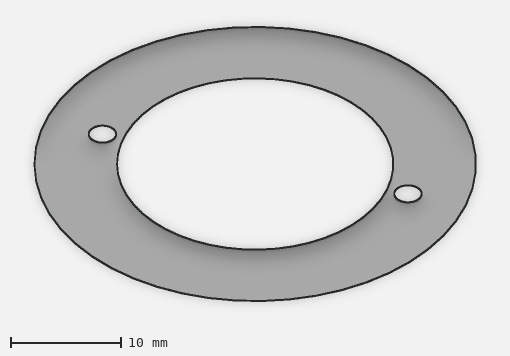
import cadquery as cq

outer_diameter = 40
bore_diameter = 25.0
thickness = 0.05

hole_diameter = 2.5
hole_spacing = 29.0

ring = (
    cq.Workplane("XY")
    .circle(outer_diameter / 2)
    .circle(bore_diameter / 2)
    .extrude(thickness)
)

hole_cutters = (
    cq.Workplane("XY")
    .pushPoints([(side * hole_spacing / 2, 0) for side in (-1, 1)])
    .circle(hole_diameter / 2)
    .extrude(thickness)
)

result = ring.cut(hole_cutters)